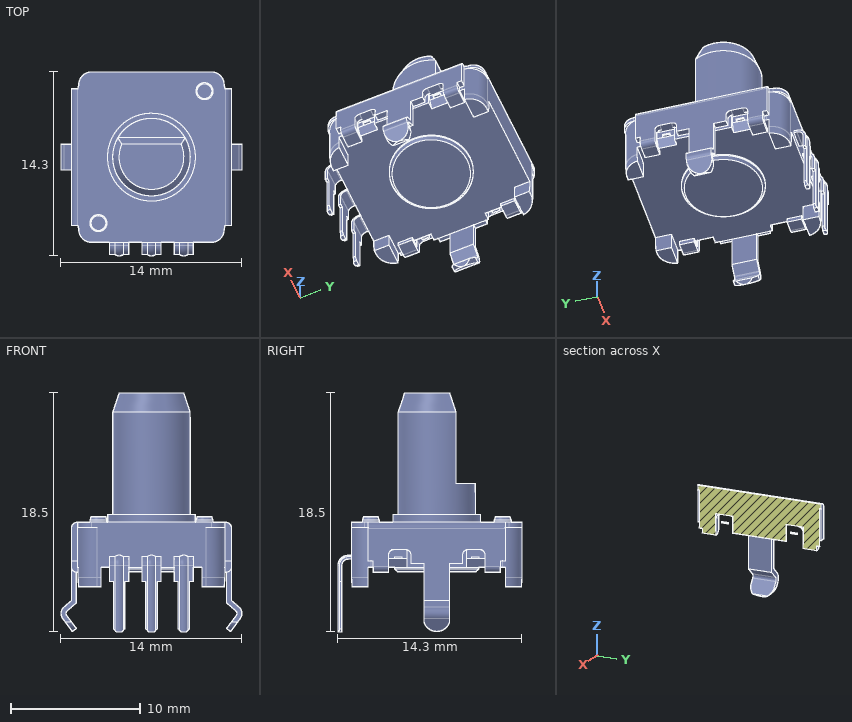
import cadquery as cq
import math


BODY_X = 11.4
BODY_Y = 13.2
BODY_CORNER_R = 1.5
BODY_BOTTOM = 1.5
COVER_TOP = 5.0
SHEET = 0.4
BODY_TOP = COVER_TOP - SHEET
LEG_INNER_X = 3.9
LEG_INNER_Y = 5.3
LEG_TAPER_HEIGHT = 0.7
LEG_TAPER_INSET = 0.05
BASE_DISC_R = 3.25
BASE_DISC_HEIGHT = 0.35
BASE_DISC_CHAMFER = 0.22

COVER_CORNER_R = 1.0
COVER_END_INSET = 0.07
RIVET_X = 4.1
RIVET_Y = 5.1
RIVET_BASE_R = 0.66
RIVET_TOP_R = 0.57
RIVET_BASE_HEIGHT = 0.15
RIVET_HEIGHT = 0.42

BRACKET_OUTER_X = 6.2
BRACKET_INNER_X = BODY_X / 2
BRACKET_HALF_Y = LEG_INNER_Y
BRACKET_BEND_R = 0.48
SHOULDER_BOTTOM = 2.0
TAB_INNER_Y = 3.73
TAB_OUTER_Y = 4.92
TAB_BOTTOM = 1.12
TAB_BEND_R = 0.45
TAB_REACH = 1.4
WINDOW_INNER_Y = 2.0
WINDOW_TOP = 2.87
WINDOW_CORNER_R = 0.4
ROOT_BOTTOM = 1.8

RECESS_INNER_Y = 2.3
RECESS_OUTER_Y = 3.76
RECESS_DEPTH = 0.2
RAMP_TOP = 2.2
RAMP_DEPTH = 0.6
NUB_INNER_Y = 2.67
NUB_WIDTH = 0.6
NUB_HEIGHT = 0.12

CLIP_SPAN = 14.0
CLIP_HALF_WIDTH = 1.0
CLIP_ELBOW_R = 0.66
CLIP_ELBOW_Z = -2.06
CLIP_UPPER_ANGLE = math.radians(49)
CLIP_LOWER_ANGLE = math.radians(36.6)
CLIP_LOWER_LENGTH = 1.26
CLIP_ROUND_START = -2.72
CLIP_TIP_Z = -3.46

PIN_PITCH = 2.5
PIN_OUTER_Y = -7.53
PIN_SHEET = 0.2
PIN_TOP = 2.33
PIN_BEND_R = 0.68
PIN_WIDE = 1.5
PIN_NARROW = 0.9
PIN_SHOULDER_Z = 0.4
PIN_TIP_Z = -3.5
PIN_TIP_CHAMFER = 0.25
RIB_HALF_WIDTH = 0.325
RIB_HEIGHT = 0.12
PIN_EMBED = 0.2

BUSHING_R = 3.4
BUSHING_TOP = 5.6
SHAFT_R = 3.0
SHAFT_TOP = 15.0
FLAT_Y = 1.5
FLAT_BOTTOM = 8.0
TIP_TAPER_HEIGHT = 1.5
TIP_TAPER_INSET = 0.5


def box(x_range, y_range, z_range):
    """Axis-aligned box between the given limits."""
    size = [high - low for low, high in (x_range, y_range, z_range)]
    corner = cq.Vector(x_range[0], y_range[0], z_range[0])
    return cq.Workplane("XY").add(cq.Solid.makeBox(*size, corner))


def extrude_along_y(outline, half_width):
    """Extrude an XZ outline symmetrically about Y = 0."""
    return outline.extrude(half_width, both=True)


def make_housing():
    outline = cq.Sketch().rect(BODY_X, BODY_Y).vertices().fillet(BODY_CORNER_R)
    leg_draft = math.degrees(math.atan(LEG_TAPER_INSET / LEG_TAPER_HEIGHT))
    block = cq.Workplane("XY").workplane(offset=LEG_TAPER_HEIGHT)
    housing = block.placeSketch(outline).extrude(BODY_TOP - LEG_TAPER_HEIGHT)
    housing = housing.union(block.placeSketch(outline).extrude(-LEG_TAPER_HEIGHT, taper=leg_draft))
    housing = housing.cut(box((-BODY_X, BODY_X), (-LEG_INNER_Y, LEG_INNER_Y), (0, BODY_BOTTOM)))
    housing = housing.cut(box((-LEG_INNER_X, LEG_INNER_X), (-BODY_Y, BODY_Y), (0, BODY_BOTTOM)))
    disc = (
        cq.Workplane("XY")
        .workplane(offset=BODY_BOTTOM)
        .circle(BASE_DISC_R)
        .extrude(-BASE_DISC_HEIGHT)
        .faces("<Z")
        .chamfer(BASE_DISC_CHAMFER)
    )
    return housing.union(disc)


def make_recess():
    """Pocket in the +X, +Y quarter of the housing, deepening downward along a ramp."""
    face_x = BODY_X / 2
    back_x = face_x - RECESS_DEPTH
    pocket = (
        cq.Workplane("XZ", origin=(0, RECESS_OUTER_Y, 0))
        .moveTo(face_x, BODY_BOTTOM)
        .lineTo(face_x, WINDOW_TOP)
        .lineTo(back_x, WINDOW_TOP)
        .lineTo(back_x, RAMP_TOP)
        .lineTo(face_x - RAMP_DEPTH, BODY_BOTTOM)
        .close()
        .extrude(RECESS_OUTER_Y - RECESS_INNER_Y)
    )
    nub = box(
        (back_x, face_x),
        (NUB_INNER_Y, NUB_INNER_Y + NUB_WIDTH),
        (RAMP_TOP, RAMP_TOP + NUB_HEIGHT),
    )
    return pocket.cut(nub)


def make_cover():
    half_x = BODY_X / 2
    half_y = BODY_Y / 2
    arc_x = half_x - COVER_END_INSET
    arc_y = half_y - COVER_CORNER_R
    quarter = (
        cq.Workplane("XY", origin=(0, 0, BODY_TOP))
        .lineTo(half_x, 0)
        .lineTo(half_x, BRACKET_HALF_Y)
        .lineTo(arc_x, arc_y)
        .radiusArc((arc_x - COVER_CORNER_R, half_y), -COVER_CORNER_R)
        .lineTo(0, half_y)
        .close()
        .extrude(SHEET)
    )
    half = quarter.union(quarter.mirror("YZ"))
    return half.union(half.mirror("XZ"))


def make_rivet(x, y):
    profile = (
        cq.Workplane("XZ", origin=(x, y, COVER_TOP))
        .lineTo(RIVET_BASE_R, 0)
        .lineTo(RIVET_BASE_R, RIVET_BASE_HEIGHT)
        .lineTo(RIVET_TOP_R, RIVET_HEIGHT)
        .lineTo(0, RIVET_HEIGHT)
        .close()
    )
    return profile.revolve(360, (0, 0, 0), (0, 1, 0))


def make_bracket_window():
    """Cutter for the arched window between the +Y tab and the clip root."""
    plate_x = (BRACKET_INNER_X, BRACKET_OUTER_X)
    arch = box(plate_x, (WINDOW_INNER_Y, TAB_INNER_Y), (TAB_BOTTOM, WINDOW_TOP))
    arch = arch.edges("|X and >Z").fillet(WINDOW_CORNER_R)
    below_root = box(plate_x, (0, TAB_INNER_Y), (TAB_BOTTOM, ROOT_BOTTOM))
    return arch.union(below_root)


def make_bracket():
    """Plate bent down the +X side, with its folded-under tabs and arched windows."""
    plate_x = (BRACKET_INNER_X, BRACKET_OUTER_X)
    upper_outline = (
        cq.Workplane("XZ")
        .moveTo(BRACKET_INNER_X, SHOULDER_BOTTOM)
        .lineTo(BRACKET_INNER_X, COVER_TOP)
        .lineTo(BRACKET_OUTER_X - BRACKET_BEND_R, COVER_TOP)
        .radiusArc((BRACKET_OUTER_X, COVER_TOP - BRACKET_BEND_R), BRACKET_BEND_R)
        .lineTo(BRACKET_OUTER_X, SHOULDER_BOTTOM)
        .close()
    )
    upper = extrude_along_y(upper_outline, BRACKET_HALF_Y)
    lower = box(plate_x, (-TAB_OUTER_Y, TAB_OUTER_Y), (TAB_BOTTOM, SHOULDER_BOTTOM))
    fold = box(
        (BRACKET_OUTER_X - TAB_REACH, BRACKET_INNER_X),
        (-TAB_OUTER_Y, TAB_OUTER_Y),
        (TAB_BOTTOM, BODY_BOTTOM),
    )
    fold = fold.cut(box((0, BRACKET_OUTER_X), (-TAB_INNER_Y, TAB_INNER_Y), (TAB_BOTTOM, BODY_BOTTOM)))
    lower = lower.edges("|Y and >X and <Z").fillet(TAB_BEND_R)
    window = make_bracket_window()
    plate = upper.union(lower).cut(window).cut(window.mirror("XZ"))
    return plate.union(fold)


def make_clip():
    """Snap clip below the +X bracket: straight drop, outward ramp, round elbow, return leg."""
    center_x = CLIP_SPAN / 2 - CLIP_ELBOW_R
    outer_x = BRACKET_OUTER_X
    inner_x = outer_x - SHEET
    inner_r = CLIP_ELBOW_R - SHEET

    def on_elbow(radius, angle):
        return (center_x + radius * math.cos(angle), CLIP_ELBOW_Z + radius * math.sin(angle))

    def kink(radius, x):
        start = on_elbow(radius, CLIP_UPPER_ANGLE)
        return (x, start[1] + (start[0] - x) / math.tan(CLIP_UPPER_ANGLE))

    def tip(radius):
        start = on_elbow(radius, -CLIP_LOWER_ANGLE)
        return (
            start[0] - CLIP_LOWER_LENGTH * math.sin(CLIP_LOWER_ANGLE),
            start[1] - CLIP_LOWER_LENGTH * math.cos(CLIP_LOWER_ANGLE),
        )

    outline = (
        cq.Workplane("XZ")
        .moveTo(inner_x, WINDOW_TOP)
        .lineTo(outer_x, WINDOW_TOP)
        .lineTo(*kink(CLIP_ELBOW_R, outer_x))
        .lineTo(*on_elbow(CLIP_ELBOW_R, CLIP_UPPER_ANGLE))
        .threePointArc(on_elbow(CLIP_ELBOW_R, 0), on_elbow(CLIP_ELBOW_R, -CLIP_LOWER_ANGLE))
        .lineTo(*tip(CLIP_ELBOW_R))
        .lineTo(*tip(inner_r))
        .lineTo(*on_elbow(inner_r, -CLIP_LOWER_ANGLE))
        .threePointArc(on_elbow(inner_r, 0), on_elbow(inner_r, CLIP_UPPER_ANGLE))
        .lineTo(*kink(inner_r, inner_x))
        .close()
    )
    strip = extrude_along_y(outline, CLIP_HALF_WIDTH)
    rounded_end = (
        cq.Workplane("YZ")
        .moveTo(-CLIP_HALF_WIDTH, WINDOW_TOP)
        .lineTo(-CLIP_HALF_WIDTH, CLIP_ROUND_START)
        .threePointArc((0, CLIP_TIP_Z), (CLIP_HALF_WIDTH, CLIP_ROUND_START))
        .lineTo(CLIP_HALF_WIDTH, WINDOW_TOP)
        .close()
        .extrude(CLIP_SPAN)
    )
    return strip.intersect(rounded_end)


def make_pin_strip():
    """Flat bent strip of the pin at X = 0, wide at its head and narrow below the shoulder."""
    start_y = PIN_EMBED - BODY_Y / 2
    inner_y = PIN_OUTER_Y + PIN_SHEET
    bend_y = PIN_OUTER_Y + PIN_BEND_R
    bend_z = PIN_TOP - PIN_BEND_R
    inner_r = PIN_BEND_R - PIN_SHEET
    head = (
        cq.Workplane("YZ")
        .moveTo(start_y, PIN_TOP)
        .lineTo(bend_y, PIN_TOP)
        .radiusArc((PIN_OUTER_Y, bend_z), -PIN_BEND_R)
        .lineTo(PIN_OUTER_Y, PIN_SHOULDER_Z)
        .lineTo(inner_y, PIN_SHOULDER_Z)
        .lineTo(inner_y, bend_z)
        .radiusArc((bend_y, PIN_TOP - PIN_SHEET), inner_r)
        .lineTo(start_y, PIN_TOP - PIN_SHEET)
        .close()
        .extrude(PIN_WIDE / 2, both=True)
    )
    stem = box((-PIN_NARROW / 2, PIN_NARROW / 2), (PIN_OUTER_Y, inner_y), (PIN_TIP_Z, PIN_SHOULDER_Z))
    return head.union(stem)


def make_pin_rib():
    """Raised round rib swept along the outer face of the pin at X = 0."""
    start_y = PIN_EMBED - BODY_Y / 2
    path = (
        cq.Workplane("YZ")
        .moveTo(start_y, PIN_TOP)
        .lineTo(PIN_OUTER_Y + PIN_BEND_R, PIN_TOP)
        .radiusArc((PIN_OUTER_Y, PIN_TOP - PIN_BEND_R), -PIN_BEND_R)
        .lineTo(PIN_OUTER_Y, PIN_TIP_Z)
    )
    half_sheet = PIN_SHEET / 2
    section = (
        cq.Workplane("XZ", origin=(0, start_y, PIN_TOP))
        .moveTo(-RIB_HALF_WIDTH, -half_sheet)
        .lineTo(-RIB_HALF_WIDTH, 0)
        .threePointArc((0, RIB_HEIGHT), (RIB_HALF_WIDTH, 0))
        .lineTo(RIB_HALF_WIDTH, -half_sheet)
        .close()
    )
    return section.sweep(path)


def make_pin(x):
    pin = make_pin_strip().union(make_pin_rib())
    half = PIN_NARROW / 2
    for side in (-1, 1):
        corner = (
            cq.Workplane("XZ")
            .moveTo(side * half, PIN_TIP_Z)
            .lineTo(side * (half - PIN_TIP_CHAMFER), PIN_TIP_Z)
            .lineTo(side * half, PIN_TIP_Z + PIN_TIP_CHAMFER)
            .close()
            .extrude(BODY_Y)
        )
        pin = pin.cut(corner)
    return pin.translate((x, 0, 0))


def make_shaft():
    bushing = cq.Workplane("XY", origin=(0, 0, BODY_TOP)).circle(BUSHING_R).extrude(BUSHING_TOP - BODY_TOP)
    round_base = cq.Workplane("XY", origin=(0, 0, BODY_TOP)).circle(SHAFT_R).extrude(FLAT_BOTTOM - BODY_TOP)
    flat_half_x = math.sqrt(SHAFT_R**2 - FLAT_Y**2)
    taper_start = SHAFT_TOP - TIP_TAPER_HEIGHT
    taper_angle = math.degrees(math.atan(TIP_TAPER_INSET / TIP_TAPER_HEIGHT))

    def d_outline(z):
        return (
            cq.Workplane("XY", origin=(0, 0, z))
            .moveTo(flat_half_x, FLAT_Y)
            .lineTo(-flat_half_x, FLAT_Y)
            .threePointArc((0, -SHAFT_R), (flat_half_x, FLAT_Y))
            .close()
        )

    keyed = d_outline(FLAT_BOTTOM).extrude(taper_start - FLAT_BOTTOM)
    tip = d_outline(taper_start).extrude(TIP_TAPER_HEIGHT, taper=taper_angle)
    return bushing.union(round_base).union(keyed).union(tip)


def make_encoder():
    recess = make_recess()
    recesses = recess.union(recess.mirror("XZ"))
    encoder = make_housing().cut(recesses).cut(recesses.mirror("YZ"))
    encoder = encoder.union(make_cover())
    side = make_bracket().union(make_clip())
    encoder = encoder.union(side).union(side.mirror("YZ"))
    for sign in (-1, 1):
        encoder = encoder.union(make_rivet(sign * RIVET_X, sign * RIVET_Y))
    for x in (-PIN_PITCH, 0, PIN_PITCH):
        encoder = encoder.union(make_pin(x))
    return encoder.union(make_shaft())


result = make_encoder()